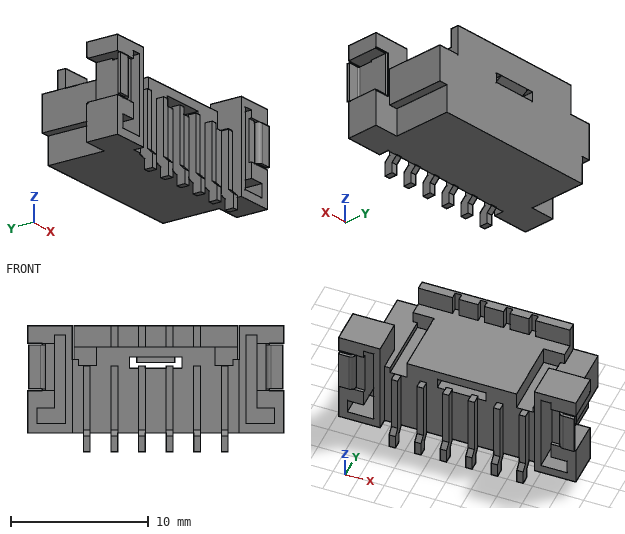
import cadquery as cq

width = 18.6
depth = 8.0
height = 9.15
base_z = 1.35
half_width = width / 2

housing_half_width = 7.87
housing_front = 1.08
shoulder_z = 6.7
deck_z = 7.59
deck_half_width = 5.93
undercut_z = 3.66
undercut_half_width = 7.12

wall_front = 7.3
wall_groove_depth = 0.5

channel_end = 6.29
channel_inner_x = 4.3
channel_outer_x = 5.6
channel_floor_z = 6.25

window_half_width = 1.9
window_bottom = 6.06
window_top = 6.86
catch_half_width = 1.4
catch_drop = 0.39
catch_undercut = 0.05
catch_length = 0.55

pin_count = 6
pin_span = 10.0
pin_pitch = pin_span / (pin_count - 1)
pin_width = 0.5
pin_thickness = 0.73
pin_top = 6.23
pin_offset = 0.45
front_bend_z = 1.13
rear_bend_z = 0.85

ear_width = 3.25
ear_front = 0.22
ear_back = 2.98
ear_inner_x = half_width - ear_width
notch_bottom = 4.45
notch_top = 7.87
notch_depth = 1.3
notch_step_length = 0.07
notch_step_height = 0.1

pocket_margin = 0.67
pocket_inner_x = half_width - 2.75
pocket_outer_x = half_width - 1.97
pocket_foot_x = half_width - 0.69
pocket_bottom = 2.05
pocket_foot_top = 3.16
pocket_top = height - pocket_margin
pocket_depth = 2.23
recess_depth = 0.22

clip_thickness = 0.25
clip_bend_radius = 0.37
clip_inset = 0.07
clip_end_gap = 0.11
clip_wide_front = 1.45


def box(x0, x1, y0, y1, z0, z1):
    return cq.Workplane("XY").box(x1 - x0, y1 - y0, z1 - z0, centered=False).translate((x0, y0, z0))


def centred_box(half_x, y0, y1, z0, z1):
    return box(-half_x, half_x, y0, y1, z0, z1)


def both_sides(right_side):
    return right_side.union(right_side.mirror("YZ"))


def make_housing():
    lower = centred_box(undercut_half_width, housing_front, depth, base_z, undercut_z)
    upper = centred_box(housing_half_width, housing_front, depth, undercut_z, shoulder_z)
    deck = centred_box(deck_half_width, housing_front, depth, shoulder_z, deck_z)
    wall = centred_box(deck_half_width, wall_front, depth, deck_z, height)
    housing = lower.union(upper).union(deck).union(wall)

    channel = box(channel_inner_x, channel_outer_x, housing_front, channel_end, channel_floor_z, deck_z)
    ledge = box(channel_outer_x, deck_half_width, housing_front, channel_end, shoulder_z, deck_z)
    housing = housing.cut(both_sides(channel.union(ledge)))

    for x in pin_positions[1:-1]:
        groove = centred_box(pin_width / 2, wall_front, wall_front + wall_groove_depth, deck_z, height)
        housing = housing.cut(groove.translate((x, 0, 0)))

    window = centred_box(window_half_width, housing_front, depth, window_bottom, window_top)
    return housing.cut(window).union(make_catch())


def make_catch():
    return (
        cq.Workplane("YZ")
        .moveTo(depth - catch_length, window_top)
        .lineTo(depth, window_top)
        .lineTo(depth - catch_length - catch_undercut, window_top - catch_drop)
        .close()
        .extrude(catch_half_width, both=True)
    )


def make_pin(x):
    rear_y = pin_offset + pin_thickness
    profile = [
        (0, 0),
        (0, front_bend_z),
        (pin_offset, front_bend_z + pin_offset),
        (pin_offset, pin_top),
        (rear_y, pin_top),
        (rear_y, rear_bend_z + pin_offset),
        (pin_thickness, rear_bend_z),
        (pin_thickness, 0),
    ]
    pin = cq.Workplane("YZ").polyline(profile).close().extrude(pin_width / 2, both=True)
    return pin.translate((x, 0, 0))


def make_ear():
    ear = box(ear_inner_x, half_width, ear_front, ear_back, base_z, height)
    notch = box(half_width - notch_depth, half_width, ear_front, ear_back, notch_bottom, notch_top)
    rear_mouth = box(
        half_width - notch_depth,
        half_width,
        ear_back - notch_step_length,
        ear_back,
        notch_bottom - notch_step_height,
        notch_top + notch_step_height,
    )
    recess = box(pocket_outer_x, half_width, ear_front, ear_front + recess_depth, notch_bottom, notch_top)
    return ear.cut(notch).cut(rear_mouth).cut(recess)


def make_pocket():
    pocket_back = ear_front + pocket_depth
    upright = box(pocket_inner_x, pocket_outer_x, ear_front, pocket_back, pocket_bottom, pocket_top)
    foot = box(pocket_outer_x, pocket_foot_x, ear_front, pocket_back, pocket_bottom, pocket_foot_top)
    return upright.union(foot)


def make_clip():
    inner_x = half_width - notch_depth
    outer_x = inner_x + clip_thickness
    clip_back = ear_back - clip_inset
    tip_x = half_width - clip_inset
    strip = (
        cq.Workplane("XY")
        .moveTo(inner_x, clip_back)
        .lineTo(inner_x, clip_bend_radius)
        .radiusArc((inner_x + clip_bend_radius, 0), -clip_bend_radius)
        .lineTo(tip_x, 0)
        .lineTo(tip_x, clip_thickness)
        .lineTo(inner_x + clip_bend_radius, clip_thickness)
        .radiusArc((outer_x, clip_bend_radius), clip_bend_radius - clip_thickness)
        .lineTo(outer_x, clip_back)
        .close()
        .extrude(notch_top - notch_bottom - 2 * clip_end_gap)
        .translate((0, 0, notch_bottom + clip_end_gap))
    )
    wide_part = box(inner_x, outer_x, clip_wide_front, clip_back, notch_bottom, notch_top)
    return strip.union(wide_part)


pin_positions = [i * pin_pitch - pin_span / 2 for i in range(pin_count)]

result = make_housing().union(both_sides(make_ear())).cut(both_sides(make_pocket()))
result = result.union(both_sides(make_clip()))
for pin_x in pin_positions:
    result = result.union(make_pin(pin_x))